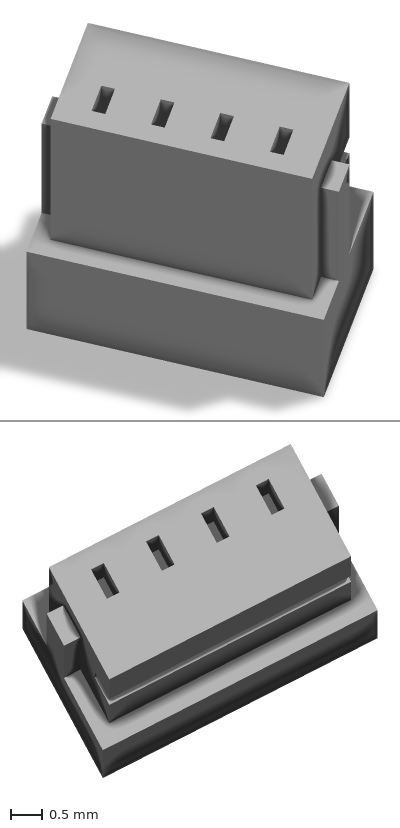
import cadquery as cq

base_length = 5.0
base_width = 2.8
base_height = 1.95

total_height = 5.0
tower_length = 4.4
tower_width = 2.1

rib_thickness = (base_length - tower_length) / 2
rib_width = 0.6
rib_top = 4.2
rib_center_y = -0.25

slot_count = 4
slot_pitch = 1.0
slot_length_x = 0.23
slot_width_y = 0.55
slot_center_y = -0.425
slot_depth = 1.0

groove_top = 3.625
groove_depth = 0.5
groove_inner_height = 0.35
groove_outer_height = 0.4


def upright_box(length, width, bottom, top, center_x=0.0, center_y=0.0):
    """Box centred on (center_x, center_y) between two heights."""
    return cq.Workplane("XY").box(
        length, width, top - bottom, centered=(True, True, False)
    ).translate((center_x, center_y, bottom))


def make_body():
    """Base and tower, with a rib on each end of the tower."""
    body = upright_box(base_length, base_width, 0, base_height)
    body = body.union(upright_box(tower_length, tower_width, 0, total_height))
    rib_center_x = (tower_length + rib_thickness) / 2
    for side in (-1, 1):
        rib = upright_box(rib_thickness, rib_width, 0, rib_top, side * rib_center_x, rib_center_y)
        body = body.union(rib)
    return body


def cut_slots(body):
    """Row of evenly spaced blind slots in the top of the tower."""
    first_slot_x = -slot_pitch * (slot_count - 1) / 2
    slot_bottom = total_height - slot_depth
    for index in range(slot_count):
        slot_x = first_slot_x + index * slot_pitch
        slot = upright_box(
            slot_length_x, slot_width_y, slot_bottom, total_height, slot_x, slot_center_y
        )
        body = body.cut(slot)
    return body


def cut_groove(body):
    """Groove running the full tower length, slightly taller at its mouth."""
    mouth_y = tower_width / 2
    floor_y = mouth_y - groove_depth
    groove = (
        cq.Workplane("YZ")
        .moveTo(mouth_y, groove_top)
        .lineTo(floor_y, groove_top)
        .lineTo(floor_y, groove_top - groove_inner_height)
        .lineTo(mouth_y, groove_top - groove_outer_height)
        .close()
        .extrude(tower_length / 2, both=True)
    )
    return body.cut(groove)


result = cut_groove(cut_slots(make_body()))